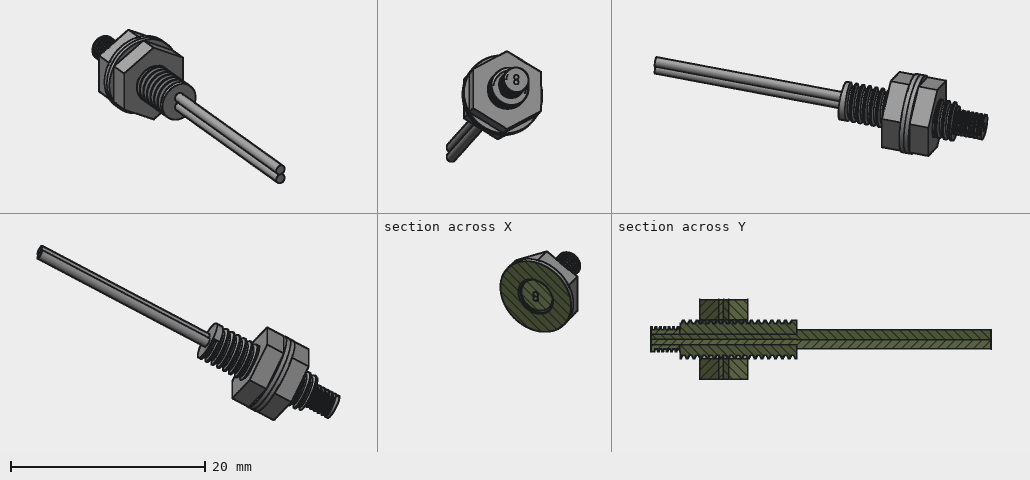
import cadquery as cq

overall_length = 35.0
tip_length = 3.0
nut_start = 5.0
nut_thickness = 2.0
washer_thickness = 0.5
housing_end = 15.0

washer_diameter = 8.22
nut_across_corners = washer_diameter

housing_diameter = 4.0
housing_pitch = 0.7
housing_thread_depth = 0.35
housing_groove_start = 2.85
housing_groove_end = 14.63
housing_groove_mouth = 0.55
housing_groove_floor = 0.2

tip_diameter = 2.6
tip_pitch = 0.45
tip_thread_depth = 0.28
tip_groove_start = 0.18
tip_groove_mouth = 0.3
tip_groove_floor = 0.18

cable_diameter = 1.0
fibre_diameter = 0.5
fibre_spacing = 0.52


def rod(diameter, start, end, z=0):
    """Round rod along X between two stations."""
    return cq.Workplane("YZ", origin=(start, 0, z)).circle(diameter / 2).extrude(end - start)


def thread_groove(diameter, depth, pitch, start, end, mouth, floor):
    """Right-handed trapezoidal groove around X, starting on the +Y side."""
    radius = diameter / 2
    clearance = 0.05
    cutter_mouth = mouth + (mouth - floor) * clearance / depth
    profile = [
        (radius - depth, -floor / 2),
        (radius + clearance, -cutter_mouth / 2),
        (radius + clearance, cutter_mouth / 2),
        (radius - depth, floor / 2),
    ]
    helix = cq.Workplane(obj=cq.Wire.makeHelix(pitch, end - start, radius))
    groove = cq.Workplane("XZ").polyline(profile).close().sweep(helix, isFrenet=True)
    return groove.rotate((0, 0, 0), (1, 1, 1), 120).translate((start, 0, 0))


def make_fibre_cable(side):
    """Cable behind the housing, with its fibre reaching forward to the sensing face."""
    cable = rod(cable_diameter, housing_end, overall_length, side * cable_diameter / 2)
    fibre = rod(fibre_diameter, 0, housing_end, side * fibre_spacing / 2)
    return cable.union(fibre)


def cut_fibre_holes(body, start, end):
    """Cut the two fibre holes between two stations."""
    for side in (-1, 1):
        body = body.cut(rod(fibre_diameter, start, end, side * fibre_spacing / 2))
    return body


def make_tip():
    groove = thread_groove(
        tip_diameter, tip_thread_depth, tip_pitch, tip_groove_start,
        tip_length + tip_pitch, tip_groove_mouth, tip_groove_floor,
    )
    tip = rod(tip_diameter, 0, tip_length).cut(groove)
    return cut_fibre_holes(tip, 0, tip_length)


def make_housing():
    groove = thread_groove(
        housing_diameter, housing_thread_depth, housing_pitch, housing_groove_start,
        housing_groove_end, housing_groove_mouth, housing_groove_floor,
    )
    housing = rod(housing_diameter, tip_length, housing_end).cut(groove)
    return cut_fibre_holes(housing, tip_length, housing_end)


def make_nut(start):
    """Hexagonal nut with two corners on the Z axis and a bore on the thread crests."""
    hexagon = cq.Workplane("YZ", origin=(start, 0, 0)).transformed(rotate=(0, 0, 90))
    blank = hexagon.polygon(6, nut_across_corners).extrude(nut_thickness)
    return blank.cut(rod(housing_diameter, start, start + nut_thickness))


def make_washer(start):
    end = start + washer_thickness
    return rod(washer_diameter, start, end).cut(rod(housing_diameter, start, end))


first_washer_start = nut_start + nut_thickness
washer_starts = [first_washer_start, first_washer_start + washer_thickness]
nut_starts = [nut_start, washer_starts[-1] + washer_thickness]

tip = make_tip()
housing = make_housing()
nuts = [make_nut(start) for start in nut_starts]
washers = [make_washer(start) for start in washer_starts]
fibre_cables = [make_fibre_cable(side) for side in (-1, 1)]

bodies = [tip, housing, *nuts, *washers, *fibre_cables]
result = cq.Compound.makeCompound([solid for body in bodies for solid in body.solids().vals()])